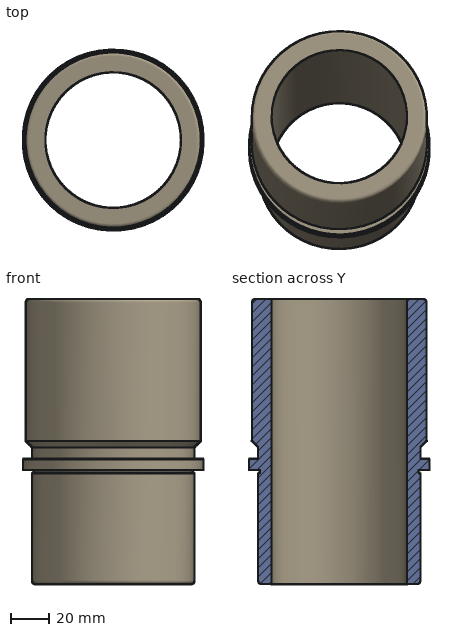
import cadquery as cq

total_height = 150.0
relief_bottom = 58.6
flange_bottom = 60.0
flange_top = 66.0
taper_bottom = 72.0
taper_top = 75.3

bore_radius = 35.5
relief_radius = 41.8
lower_radius = 42.8
upper_radius = lower_radius + taper_top - taper_bottom
flange_radius = 47.5

rim_fillet = 2.0

edge_bevel = 0.5

half_section = [
    (bore_radius, 0),
    (lower_radius, 0),
    (lower_radius, relief_bottom - edge_bevel),
    (lower_radius - edge_bevel, relief_bottom),
    (relief_radius, relief_bottom),
    (relief_radius, flange_bottom),
    (flange_radius, flange_bottom),
    (flange_radius, flange_top - edge_bevel),
    (flange_radius - edge_bevel, flange_top),
    (lower_radius, flange_top),
    (lower_radius, taper_bottom),
    (upper_radius, taper_top),
    (upper_radius, total_height),
    (bore_radius, total_height),
]
sleeve = cq.Workplane("XZ").polyline(half_section).close().revolve(360, (0, 0), (0, 1))


def round_outer_rim(body, face_selector, rim_radius):
    """Fillet the outer circle of one end face, leaving the bore edge sharp."""
    ends = body.faces(face_selector).edges("%CIRCLE").vals()
    outer_edges = [edge for edge in ends if abs(edge.radius() - rim_radius) < 0.002]
    return body.newObject(outer_edges).fillet(rim_fillet)


sleeve = round_outer_rim(sleeve, ">Z", upper_radius)
result = round_outer_rim(sleeve, "<Z", lower_radius)